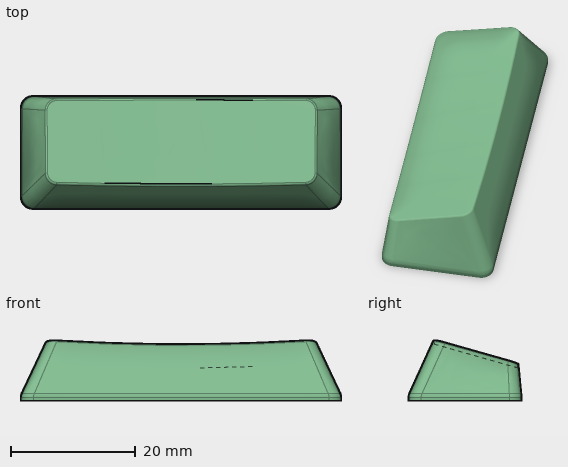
import cadquery as cq
import math

length = 51.5
width = 18.2
skirt_height = 0.6
skirt_corner_radius = 2.0

blend_height = 0.6

top_length = 43.45
top_front_y = -5.0
top_back_y = 8.6
top_front_z = 9.95
top_back_z = 6.1
top_corner_radius = 1.85

dish_depth = 0.75
rim_radius = 0.35

wall_overrun = 1.1

top_tilt = math.atan2(top_front_z - top_back_z, top_back_y - top_front_y)
top_normal = cq.Vector(0, math.sin(top_tilt), math.cos(top_tilt))
blend_top_z = skirt_height + blend_height

wall_root_z = skirt_height + blend_height / 2
base_x = length / 2
base_y = width / 2
top_x = top_length / 2


def corner_wire(corners, radius):
    """Closed outline through four planar corner points, with each corner rounded."""
    outline = cq.Wire.makePolygon([cq.Vector(*point) for point in corners], close=True)
    return outline.fillet2D(radius, outline.Vertices())


def wall_corners(front_run, back_run, front_z, back_z):
    """Corner points after moving from the skirt towards the top by the given fractions."""
    front_x = base_x + (top_x - base_x) * front_run
    back_x = base_x + (top_x - base_x) * back_run
    front_y = -base_y + (top_front_y + base_y) * front_run
    back_y = base_y + (top_back_y - base_y) * back_run
    return [
        (-front_x, front_y, front_z),
        (front_x, front_y, front_z),
        (back_x, back_y, back_z),
        (-back_x, back_y, back_z),
    ]


def blend_section(rise):
    """Level outline in the blend; the walls curve inward as a parabola of the rise (0 to 1)."""
    z = skirt_height + blend_height * rise
    inward = (blend_top_z - wall_root_z) * rise**2
    front_run = inward / (top_front_z - wall_root_z)
    back_run = inward / (top_back_z - wall_root_z)
    corners = wall_corners(front_run, back_run, z, z)
    return corner_wire(corners, skirt_corner_radius)


def stock_top_section():
    """Sloping outline above the finished top, on the extended corner lines."""
    front_z = wall_root_z + (top_front_z - wall_root_z) * wall_overrun
    back_z = wall_root_z + (top_back_z - wall_root_z) * wall_overrun
    corners = wall_corners(wall_overrun, wall_overrun, front_z, back_z)
    return corner_wire(corners, top_corner_radius)


def make_blank():
    """Skirt, curved blend and leaning walls stacked into one solid."""
    skirt_top = blend_section(0)
    blend_top = blend_section(1)
    skirt_face = cq.Face.makeFromWires(skirt_top)
    skirt = cq.Solid.extrudeLinear(skirt_face, cq.Vector(0, 0, -skirt_height))
    blend = cq.Solid.makeLoft([skirt_top, blend_section(0.5), blend_top])
    walls = cq.Solid.makeLoft([blend_top, stock_top_section()], True)
    return cq.Workplane(skirt).union(cq.Workplane(blend)).union(cq.Workplane(walls))


def make_dish_cutter():
    """Cylinder parallel to the top slope, level with the top plane at both ends."""
    dish_radius = (top_x**2 + dish_depth**2) / (2 * dish_depth)
    cutter_length = 3 * width
    along = cq.Vector(0, math.cos(top_tilt), -math.sin(top_tilt))
    top_middle = cq.Vector(0, (top_front_y + top_back_y) / 2, (top_front_z + top_back_z) / 2)
    axis_middle = top_middle + top_normal * (dish_radius - dish_depth)
    axis_start = axis_middle - along * (cutter_length / 2)
    return cq.Workplane(cq.Solid.makeCylinder(dish_radius, cutter_length, axis_start, along))


cap = make_blank().cut(make_dish_cutter())
dish_face = cap.faces(">Z")
result = dish_face.edges().fillet(rim_radius)